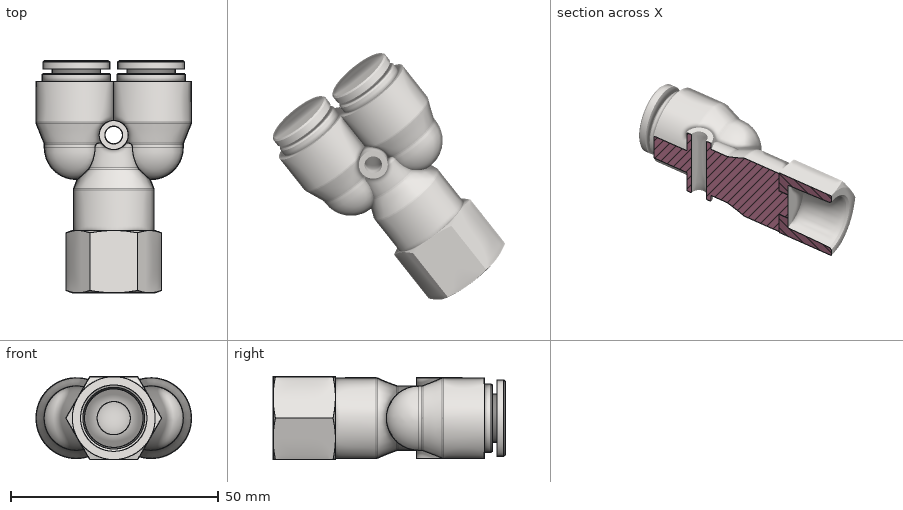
import cadquery as cq
import math


barrel_diameter = 19.5
neck_diameter = 15.5
branch_spacing = 18.05
taper_blend_radius = 1.0
dome_center_y = 35.05
stem_taper_start_y = 25.0
branch_taper_start_y = 40.95
taper_length = 5.0
stem_end_rounding = 1.0
stem_end_y = dome_center_y + stem_end_rounding
housing_end_y = 50.95

eyelet_diameter = 7.0
eyelet_hole_diameter = 4.2
eyelet_y = 38.0

nut_across_flats = 20.0
nut_length = 15.0
nut_corner_drop = 0.55
socket_mouth_diameter = 14.9
socket_chamfer = 0.55
socket_floor_diameter = 14.1
socket_depth = 12.5
spigot_diameter = 8.0

collar_diameter = 16.5
collar_length = 1.95
collar_chamfer = 0.35

button_neck_diameter = 11.7
button_neck_length = 1.0
flange_width = 16.1
flange_height = 18.5
flange_chamfer = 0.4
overall_length = 56.0

barrel_radius = barrel_diameter / 2
neck_radius = neck_diameter / 2
branch_positions = (-branch_spacing / 2, branch_spacing / 2)
collar_end_y = housing_end_y + collar_length
flange_start_y = collar_end_y + button_neck_length


def section_plane(y, x=0):
    """Plane across the Y axis, with its normal along +Y and its local Y along +Z."""
    return cq.Plane(origin=(x, y, 0), xDir=(-1, 0, 0), normal=(0, 1, 0))


def cylinder(diameter, start_y, end_y, x=0):
    """Solid cylinder along Y."""
    return cq.Workplane(section_plane(start_y, x)).circle(diameter / 2).extrude(end_y - start_y)


def circles_at(arm, y):
    """Circular edges centred on the arm's axis at the given y."""
    reach = 0.05
    around_centre = cq.selectors.BoxSelector((-reach, y - reach, -reach), (reach, y + reach, reach))
    return arm.edges("%CIRCLE").edges(around_centre)


def blend_taper(arm, taper_start_y, taper_end_y):
    """Round both rims of a taper."""
    for y in (taper_start_y, taper_end_y):
        arm = circles_at(arm, y).fillet(taper_blend_radius)
    return arm


def make_stem():
    taper_end_y = stem_taper_start_y + taper_length
    stem = (
        cq.Workplane("XY")
        .moveTo(0, nut_length)
        .lineTo(barrel_radius, nut_length)
        .lineTo(barrel_radius, stem_taper_start_y)
        .lineTo(neck_radius, taper_end_y)
        .lineTo(neck_radius, stem_end_y)
        .lineTo(0, stem_end_y)
        .close()
        .revolve(360, (0, 0, 0), (0, 1, 0))
    )
    stem = blend_taper(stem, stem_taper_start_y, taper_end_y)
    return circles_at(stem, stem_end_y).fillet(stem_end_rounding)


def make_branch():
    """Branch on the Y axis, from the domed end of its neck to the collar face of the housing."""
    taper_end_y = branch_taper_start_y - taper_length
    dome_middle = (neck_radius * math.sin(math.pi / 4),
                   dome_center_y - neck_radius * math.cos(math.pi / 4))
    branch = (
        cq.Workplane("XY")
        .moveTo(0, housing_end_y)
        .lineTo(barrel_radius, housing_end_y)
        .lineTo(barrel_radius, branch_taper_start_y)
        .lineTo(neck_radius, taper_end_y)
        .lineTo(neck_radius, dome_center_y)
        .threePointArc(dome_middle, (0, dome_center_y - neck_radius))
        .close()
        .revolve(360, (0, 0, 0), (0, 1, 0))
    )
    return blend_taper(branch, branch_taper_start_y, taper_end_y)


def make_housing():
    housing = make_stem()
    branch = make_branch()
    for x in branch_positions:
        housing = housing.union(branch.translate((x, 0, 0)))

    eyelet_plane = cq.Workplane("XY", origin=(0, eyelet_y, 0))
    eyelet = eyelet_plane.circle(eyelet_diameter / 2).extrude(barrel_radius, both=True)
    eyelet_hole = eyelet_plane.circle(eyelet_hole_diameter / 2).extrude(barrel_diameter, both=True)

    spigot = cylinder(spigot_diameter, socket_depth, nut_length)
    return housing.union(spigot).union(eyelet).cut(eyelet_hole)


def make_nut():
    corner_radius = nut_across_flats / math.sqrt(3)
    flat_radius = nut_across_flats / 2
    hexagon = cq.Workplane(section_plane(0)).polygon(6, 2 * corner_radius).extrude(nut_length)

    envelope = (
        cq.Workplane("XY")
        .moveTo(0, 0)
        .lineTo(flat_radius, 0)
        .lineTo(corner_radius, nut_corner_drop)
        .lineTo(corner_radius, nut_length - nut_corner_drop)
        .lineTo(flat_radius, nut_length)
        .lineTo(0, nut_length)
        .close()
        .revolve(360, (0, 0, 0), (0, 1, 0))
    )

    mouth_radius = socket_mouth_diameter / 2
    socket = (
        cq.Workplane("XY")
        .moveTo(0, 0)
        .lineTo(mouth_radius + socket_chamfer, 0)
        .lineTo(mouth_radius, socket_chamfer)
        .lineTo(socket_floor_diameter / 2, socket_depth)
        .lineTo(0, socket_depth)
        .close()
        .revolve(360, (0, 0, 0), (0, 1, 0))
    )
    spigot_hole = cylinder(spigot_diameter, socket_depth, nut_length)
    return hexagon.intersect(envelope).cut(socket).cut(spigot_hole)


def make_collar(x):
    return cylinder(collar_diameter, housing_end_y, collar_end_y, x).faces(">Y").chamfer(collar_chamfer)


def make_button(x):
    """Oval flange, taller in Z than it is wide, on a round neck."""
    flange = (
        cq.Workplane(section_plane(flange_start_y, x))
        .ellipse(flange_width / 2, flange_height / 2)
        .extrude(overall_length - flange_start_y)
        .faces(">Y")
        .chamfer(flange_chamfer)
    )
    return flange.union(cylinder(button_neck_diameter, collar_end_y, flange_start_y, x))


housing = make_housing()
nut = make_nut()
collars = [make_collar(x) for x in branch_positions]
buttons = [make_button(x) for x in branch_positions]

result = cq.Compound.makeCompound([
    housing.val(),
    nut.val(),
    *[collar.val() for collar in collars],
    *[button.val() for button in buttons],
])